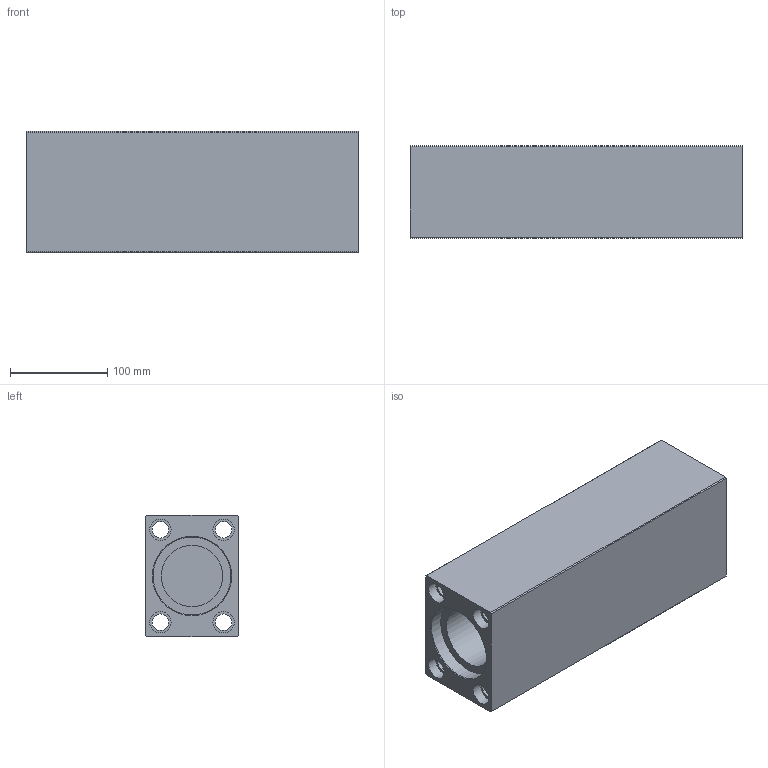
import cadquery as cq

length = 341.0
width = 95.0
height = 125.0
edge_chamfer = 1.0

bore_diameter = 63.0
end_wall = 40.0
mouth_diameter = 80.0
mouth_depth = 14.0
mouth_chamfer = 0.7

bolt_spacing_y = 65.0
bolt_spacing_z = 95.0
bolt_diameter = 17.0
counterbore_diameter = 22.0
counterbore_depth = 10.4


def make_block():
    """Block along X with its front face at X = 0 and its long edges chamfered."""
    block = cq.Workplane("XY").box(length, width, height, centered=(False, True, True))
    return block.edges("|X").chamfer(edge_chamfer)


def hole_from_front(diameter, depth, y=0.0, z=0.0):
    """Cylinder running from the front face along +X."""
    return cq.Workplane("YZ").center(y, z).circle(diameter / 2).extrude(depth)


def make_bore():
    """Blind bore, its wider mouth and the mouth's chamfered rim."""
    mouth_radius = mouth_diameter / 2
    bore = hole_from_front(bore_diameter, length - end_wall)
    mouth = hole_from_front(mouth_diameter, mouth_depth)
    rim = cq.Workplane("XY").add(
        cq.Solid.makeCone(
            mouth_radius + mouth_chamfer,
            mouth_radius,
            mouth_chamfer,
            pnt=cq.Vector(0, 0, 0),
            dir=cq.Vector(1, 0, 0),
        )
    )
    return bore.union(mouth).union(rim)


def make_bolt_hole(y, z):
    """Through hole with a counterbore in the front face."""
    through = hole_from_front(bolt_diameter, length, y, z)
    return through.union(hole_from_front(counterbore_diameter, counterbore_depth, y, z))


result = make_block().cut(make_bore())
for y in (-bolt_spacing_y / 2, bolt_spacing_y / 2):
    for z in (-bolt_spacing_z / 2, bolt_spacing_z / 2):
        result = result.cut(make_bolt_hole(y, z))